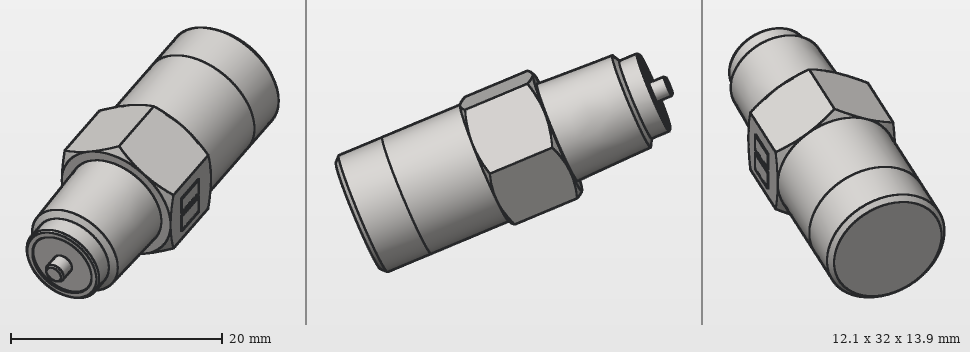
import cadquery as cq
import math

total_length = 32.0

pin_projection = 1.5
nose_length = 2.0
shoulder_length = 0.4
taper_length = 7.6
hex_length = 7.5
cap_length = 5.0

barrel_diameter = 12.0
barrel_radius = barrel_diameter / 2
taper_front_radius = 4.75
taper_base_radius = 5.0
nose_radius = 4.0
insulator_radius = 3.25
pin_radius = 1.0

rear_chamfer = 0.5
nose_chamfer = 0.2
pin_chamfer = 0.2
hex_chamfer_angle = 30.0
insulator_recess = 0.2
insulator_depth = nose_length

mark_height = 0.1
mark_length = 3.2
mark_front_y = 13.45
mark_spans = [(-2.3, -0.4), (0.05, 1.85)]

nose_front_y = pin_projection
shoulder_front_y = nose_front_y + nose_length
taper_front_y = shoulder_front_y + shoulder_length
hex_front_y = taper_front_y + taper_length
hex_rear_y = hex_front_y + hex_length
cap_front_y = total_length - cap_length
insulator_front_y = nose_front_y + insulator_recess
insulator_rear_y = insulator_front_y + insulator_depth

hex_sides = 6
hex_corner_radius = barrel_radius / math.cos(math.pi / hex_sides)


def revolve_profile(points):
    """Turn an (r, y) outline about the Y axis."""
    return cq.Workplane("XY").polyline(points).close().revolve(360, (0, 0, 0), (0, 1, 0))


def cylinder(radius, start_y, end_y):
    """Cylinder on the Y axis."""
    return revolve_profile([(0, start_y), (radius, start_y), (radius, end_y), (0, end_y)])


def make_hexagon():
    """Hexagon with corners at +Z and -Z, its corners turned off conically at both ends."""
    corner_step = 2 * math.pi / hex_sides
    corners = [
        (hex_corner_radius * math.sin(i * corner_step), hex_corner_radius * math.cos(i * corner_step))
        for i in range(hex_sides)
    ]
    prism = (
        cq.Workplane("XZ", origin=(0, hex_front_y, 0))
        .polyline(corners)
        .close()
        .extrude(-hex_length)
    )
    corner_drop = (hex_corner_radius - barrel_radius) * math.tan(math.radians(hex_chamfer_angle))
    turned_envelope = revolve_profile([
        (0, hex_front_y),
        (barrel_radius, hex_front_y),
        (hex_corner_radius, hex_front_y + corner_drop),
        (hex_corner_radius, hex_rear_y - corner_drop),
        (barrel_radius, hex_rear_y),
        (0, hex_rear_y),
    ])
    return prism.intersect(turned_envelope)


def make_housing():
    """Hexagon with a barrel behind it and a tapered stem and nose in front."""
    stem = revolve_profile([
        (0, nose_front_y),
        (nose_radius - nose_chamfer, nose_front_y),
        (nose_radius, nose_front_y + nose_chamfer),
        (nose_radius, shoulder_front_y),
        (taper_front_radius, taper_front_y),
        (taper_base_radius, hex_front_y),
        (0, hex_front_y),
    ])
    barrel = cylinder(barrel_radius, hex_rear_y, cap_front_y)
    insulator_bore = cylinder(insulator_radius, nose_front_y, insulator_rear_y)
    return make_hexagon().union(stem).union(barrel).cut(insulator_bore)


def make_rear_cap():
    """Plain cap that continues the barrel, chamfered at its rear edge."""
    return cylinder(barrel_radius, cap_front_y, total_length).faces(">Y").chamfer(rear_chamfer)


def make_insulator():
    """Disc set into the nose, with a through hole for the pin."""
    disc = cylinder(insulator_radius, insulator_front_y, insulator_rear_y)
    return disc.cut(cylinder(pin_radius, insulator_front_y, insulator_rear_y))


def make_pin():
    """Contact pin through the insulator, chamfered at its tip."""
    return cylinder(pin_radius, 0, insulator_rear_y).faces("<Y").chamfer(pin_chamfer)


def make_mark(lower_z, upper_z):
    """Raised block on the +X flat of the hexagon."""
    block = cq.Workplane("XY").box(mark_height, mark_length, upper_z - lower_z, centered=False)
    return block.translate((barrel_radius, mark_front_y, lower_z))


housing = make_housing()
rear_cap = make_rear_cap()
insulator = make_insulator()
pin = make_pin()
marks = [make_mark(lower_z, upper_z) for lower_z, upper_z in mark_spans]

result = cq.Compound.makeCompound([
    housing.val(),
    rear_cap.val(),
    insulator.val(),
    pin.val(),
    *[mark.val() for mark in marks],
])